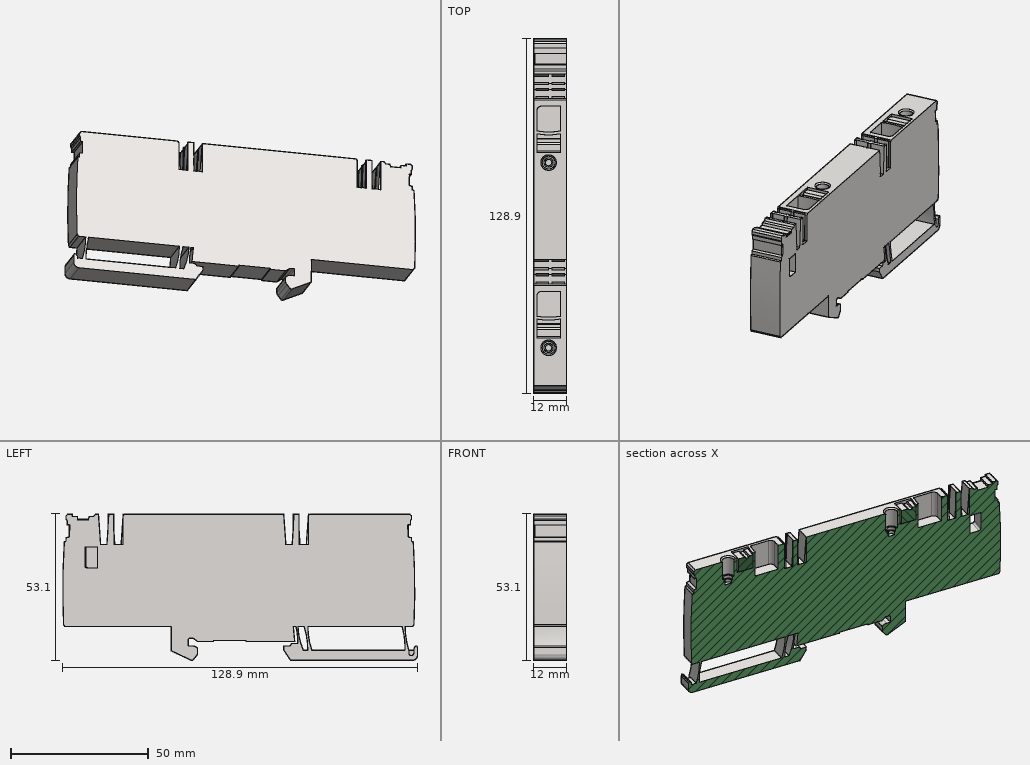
import cadquery as cq

WIDTH = 12.0
HEIGHT = 53.1
HALF_LENGTH = 63.9
BASE_Z = 12.2
FOOT_TIP_Y = -65.0

UNIT_PITCH = 67.3
UNIT_OFFSETS = (0, -UNIT_PITCH)

HEAD_INSET = 1.2
HEAD_LIP_INSET = 1.5
NECK_INSET = 2.3
SHOULDER_INSET = 0.5
HEAD_BOTTOM_Z = 50.8
HEAD_BEVEL = 0.5
NECK_TOP_Z = 49.2
NECK_BOTTOM_Z = 44.9
SHOULDER_Z = 43.0
SHOULDER_SLOPE = 0.3
END_LOW_INSET = 0.3
END_MIDDLE_Z = 28.4
CORNER = 0.8
TOP_CORNER = 0.6

TROUGH_REAR_Y = 58.5
TROUGH_FRONT_Y = 54.7
TROUGH_Z = 51.4
LEDGE_Z = 52.3

RELIEF_WIDTH = 0.5
RELIEF_DEPTH = 0.4

SLOT_FLOOR_Z = 42.2
SLOT_REAR_Y = 50.9
PILLAR_REAR_Y = 47.5
PILLAR_FRONT_Y = 45.4
SLOT_FRONT_Y = 42.0
PANEL_SLOPE = 0.8
SLOT_EDGE = 0.5
SIDE_RIB = 0.8
CENTRE_RIB = 1.2

FITTING_X = 5.4
FITTING_WIDTH = 8.5
EDGE_SAG = 0.4
FUNNEL_REAR_Y = 39.3
FUNNEL_FRONT_Y = 30.3
FUNNEL_DEPTH = 10.3
FUNNEL_RADIUS = 1.7
LEVER_REAR_Y = 29.3
LEVER_FRONT_Y = 23.0
LEVER_GAP = 0.5
LEVER_DROP = 0.8
POCKET_DEPTH = 6.5
GROOVE_DEPTH = 0.6
HOLE_Y = 18.8
HOLE_RADIUS = 2.3
HOLE_CHAMFER = 0.5
HOLE_DEPTH = 7.7
HOLE_STEPS = ((1.7, 9.0), (1.2, 10.3))

RECESS_REAR_Y = 56.0
RECESS_FRONT_Y = 51.3
RECESS_TOP_Z = 41.1
RECESS_BOTTOM_Z = 33.6
RECESS_SLOPE = 0.4
RECESS_FILLET = 0.8
RECESS_DEPTH = 5.9

FOOT_TOP_Z = 3.7
FOOT_FILLET = 1.9
NOTCH_REAR_Y = -61.7
NOTCH_FRONT_Y = -63.5
NOTCH_BOTTOM_Z = 1.8
NOTCH_DEPTH = 1.3
NOTCH_FILLET = 0.8


def plate(outline, x_start=0.0, width=WIDTH):
    """Extrude a closed outline of (Y, Z) points along X."""
    return cq.Workplane("YZ").workplane(offset=x_start).polyline(outline).close().extrude(width)


def block(y_low, y_high, z_low, z_high, x_start=0.0, width=WIDTH):
    """Box between two Y and two Z limits."""
    corners = [(y_low, z_low), (y_high, z_low), (y_high, z_high), (y_low, z_high)]
    return plate(corners, x_start, width)


def end_points(side):
    """Points of the undercut end from the top face to the shoulder; side is +1 rear, -1 front."""
    insets = [
        (HEAD_INSET + TOP_CORNER, HEIGHT),
        (HEAD_INSET, HEIGHT - TOP_CORNER),
        (HEAD_INSET, HEAD_BOTTOM_Z + HEAD_BEVEL),
        (HEAD_LIP_INSET, HEAD_BOTTOM_Z),
        (HEAD_LIP_INSET, NECK_TOP_Z),
        (NECK_INSET, NECK_TOP_Z),
        (NECK_INSET, NECK_BOTTOM_Z),
        (HEAD_INSET, NECK_BOTTOM_Z - SHOULDER_SLOPE),
        (HEAD_INSET, SHOULDER_Z + SHOULDER_SLOPE),
        (SHOULDER_INSET, SHOULDER_Z),
    ]
    return [(side * (HALF_LENGTH - inset), z) for inset, z in insets]


def main_body():
    """Closed side outline of the housing without its feet; both ends bulge slightly."""
    rear = end_points(1)
    front = end_points(-1)
    low = BASE_Z + CORNER
    trough = [
        (60.5, HEIGHT),
        (60.5, LEDGE_Z),
        (TROUGH_REAR_Y, LEDGE_Z),
        (TROUGH_REAR_Y, TROUGH_Z),
        (TROUGH_FRONT_Y, TROUGH_Z),
        (54.3, LEDGE_Z),
        (52.7, LEDGE_Z),
        (52.1, HEIGHT),
    ]
    outline = cq.Workplane("YZ").polyline(rear[::-1] + trough + front)
    outline = outline.threePointArc((-HALF_LENGTH, END_MIDDLE_Z), (END_LOW_INSET - HALF_LENGTH, low))
    outline = outline.lineTo(CORNER - HALF_LENGTH, BASE_Z).lineTo(HALF_LENGTH - CORNER, BASE_Z)
    outline = outline.lineTo(HALF_LENGTH - END_LOW_INSET, low)
    outline = outline.threePointArc((HALF_LENGTH, END_MIDDLE_Z), rear[-1])
    return outline.close().extrude(WIDTH)


def rail_hook():
    """Fixed rail hook and the raised rail seat under the housing."""
    return (
        cq.Workplane("YZ")
        .moveTo(24.6, BASE_Z)
        .lineTo(24.6, 3.5)
        .lineTo(17.5, 0.1)
        .threePointArc((17.0, 0.0), (16.5, 0.3))
        .lineTo(15.5, 1.5)
        .threePointArc((15.1, 2.0), (15.0, 2.7))
        .lineTo(15.0, 4.4)
        .threePointArc((15.7, 5.0), (16.8, 5.3))
        .lineTo(18.3, 5.3)
        .lineTo(18.3, 7.6)
        .threePointArc((18.2, 7.9), (17.8, 8.0))
        .lineTo(16.5, 8.0)
        .lineTo(15.0, 6.8)
        .lineTo(9.2, 6.8)
        .lineTo(9.2, 7.2)
        .lineTo(-2.6, 7.2)
        .lineTo(-2.6, 6.8)
        .lineTo(-20.4, 6.8)
        .lineTo(-19.9, BASE_Z)
        .close()
        .extrude(WIDTH)
    )


def release_foot():
    """Spring foot with its rail catch and the grip at the front end."""
    outline = [
        (-21.4, 6.2),
        (-19.2, 6.2),
        (-18.5, 5.3),
        (-16.2, 5.3),
        (-16.2, 3.9),
        (-18.8, 0.0),
        (FOOT_TIP_Y, 0.0),
        (FOOT_TIP_Y, 4.6),
        (-64.7, 5.3),
        (-64.2, 5.3),
        (NOTCH_FRONT_Y, 4.4),
        (NOTCH_FRONT_Y, FOOT_TOP_Z),
        (-23.5, FOOT_TOP_Z),
    ]
    lower_front = cq.selectors.NearestToPointSelector((WIDTH / 2, FOOT_TIP_Y, 0))
    return plate(outline).edges("|X").edges(lower_front).fillet(FOOT_FILLET)


def spring_leg(rear_top, rear_middle, rear_foot, front_top, front_middle, front_foot):
    """Curved leg between the housing and the release foot."""
    return (
        cq.Workplane("YZ")
        .moveTo(*rear_top)
        .threePointArc(rear_middle, rear_foot)
        .lineTo(*front_foot)
        .threePointArc(front_middle, front_top)
        .close()
        .extrude(WIDTH)
    )


def spring_legs():
    first = spring_leg(
        (-20.8, BASE_Z), (-21.3, 9.0), (-21.4, 6.2),
        (-21.5, BASE_Z), (-22.2, 7.6), (-23.5, FOOT_TOP_Z),
    )
    second = spring_leg(
        (-23.7, BASE_Z), (-24.6, 8.5), (-25.0, FOOT_TOP_Z),
        (-25.1, BASE_Z), (-25.5, 7.7), (-26.5, FOOT_TOP_Z),
    )
    third = spring_leg(
        (-59.3, BASE_Z), (-60.1, 8.5), (-60.3, FOOT_TOP_Z),
        (-60.5, BASE_Z), (-60.8, 7.7), (NOTCH_REAR_Y, FOOT_TOP_Z),
    )
    return first.union(second).union(third)


def marker_reliefs():
    """Tapered reliefs along the -X side of both necks and of the trough."""
    neck_y = HALF_LENGTH - NECK_INSET
    cut = block(TROUGH_FRONT_Y, TROUGH_REAR_Y, TROUGH_Z - RELIEF_DEPTH, TROUGH_Z, 0, RELIEF_WIDTH)
    for side in (1, -1):
        wedge = [
            (side * neck_y, NECK_TOP_Z),
            (side * (neck_y - RELIEF_DEPTH), NECK_TOP_Z),
            (side * neck_y, NECK_BOTTOM_Z),
        ]
        cut = cut.union(plate(wedge, 0, RELIEF_WIDTH))
    return cut


def bridge_slots():
    """Two slots across the housing: sloping panels between straight ribs."""
    rear_panel = [
        (SLOT_REAR_Y, HEIGHT),
        (SLOT_REAR_Y - PANEL_SLOPE, SLOT_FLOOR_Z),
        (PILLAR_REAR_Y + PANEL_SLOPE / 2, SLOT_FLOOR_Z),
        (PILLAR_REAR_Y - PANEL_SLOPE / 2, HEIGHT),
    ]
    front_panel = [
        (PILLAR_FRONT_Y + PANEL_SLOPE / 2, HEIGHT),
        (PILLAR_FRONT_Y - PANEL_SLOPE / 2, SLOT_FLOOR_Z),
        (SLOT_FRONT_Y + PANEL_SLOPE, SLOT_FLOOR_Z),
        (SLOT_FRONT_Y, HEIGHT),
    ]
    edge_chamfer = [
        (SLOT_FRONT_Y, HEIGHT),
        (SLOT_FRONT_Y, HEIGHT - SLOT_EDGE),
        (SLOT_FRONT_Y - SLOT_EDGE, HEIGHT),
    ]
    centre_x = (WIDTH - CENTRE_RIB) / 2
    panel_width = centre_x - SIDE_RIB
    right_x = WIDTH - SIDE_RIB

    cut = plate(edge_chamfer)
    for x_start in (SIDE_RIB, centre_x + CENTRE_RIB):
        cut = cut.union(plate(rear_panel, x_start, panel_width))
        cut = cut.union(plate(front_panel, x_start, panel_width))

    cut = cut.union(plate(rear_panel, 0, SIDE_RIB))
    for x_start, width in ((centre_x, CENTRE_RIB), (right_x, SIDE_RIB)):
        cut = cut.union(block(PILLAR_REAR_Y, SLOT_REAR_Y, SLOT_FLOOR_Z, HEIGHT, x_start, width))
    for x_start, width in ((0, SIDE_RIB), (centre_x, CENTRE_RIB), (right_x, SIDE_RIB)):
        cut = cut.union(block(SLOT_FRONT_Y, PILLAR_FRONT_Y, SLOT_FLOOR_Z, HEIGHT, x_start, width))
    return cut


def wire_funnel():
    """Rectangular wire entry with one rounded corner and a curved front edge."""
    left = FITTING_X - FITTING_WIDTH / 2
    right = FITTING_X + FITTING_WIDTH / 2
    funnel = (
        cq.Workplane("XY")
        .workplane(offset=HEIGHT)
        .moveTo(left, FUNNEL_FRONT_Y)
        .lineTo(left, FUNNEL_REAR_Y)
        .lineTo(right, FUNNEL_REAR_Y)
        .lineTo(right, FUNNEL_FRONT_Y)
        .threePointArc((FITTING_X, FUNNEL_FRONT_Y - EDGE_SAG), (left, FUNNEL_FRONT_Y))
        .close()
        .extrude(-FUNNEL_DEPTH)
    )
    rounded_corner = cq.selectors.NearestToPointSelector((left, FUNNEL_REAR_Y, HEIGHT - FUNNEL_DEPTH / 2))
    return funnel.edges(rounded_corner).fillet(FUNNEL_RADIUS)


def lever_space(front_y):
    """Vertical prism from the pocket floor to the top face, with a curved rear edge."""
    left = FITTING_X - FITTING_WIDTH / 2
    right = FITTING_X + FITTING_WIDTH / 2
    return (
        cq.Workplane("XY")
        .workplane(offset=HEIGHT - POCKET_DEPTH)
        .moveTo(left, LEVER_REAR_Y)
        .lineTo(left, front_y)
        .lineTo(right, front_y)
        .lineTo(right, LEVER_REAR_Y)
        .threePointArc((FITTING_X, LEVER_REAR_Y - EDGE_SAG), (left, LEVER_REAR_Y))
        .close()
        .extrude(POCKET_DEPTH)
    )


def test_hole():
    """Chamfered hole that narrows in steps."""
    profile = [
        (0, 0),
        (HOLE_RADIUS + HOLE_CHAMFER, 0),
        (HOLE_RADIUS, -HOLE_CHAMFER),
        (HOLE_RADIUS, -HOLE_DEPTH),
    ]
    step_top = HOLE_DEPTH
    for radius, depth in HOLE_STEPS:
        profile += [(radius, -step_top), (radius, -depth)]
        step_top = depth
    profile.append((0, -step_top))
    hole = cq.Workplane("XZ").polyline(profile).close().revolve(360, (0, 0), (0, 1))
    return hole.translate((FITTING_X, HOLE_Y, HEIGHT))


def side_recess():
    """Blind recess in the -X side with a sloping rear wall and a rounded lower rear edge."""
    recess = (
        cq.Workplane("XY")
        .workplane(offset=RECESS_BOTTOM_Z)
        .moveTo(0, RECESS_FRONT_Y)
        .lineTo(0, RECESS_REAR_Y)
        .lineTo(RECESS_DEPTH, RECESS_REAR_Y - RECESS_SLOPE)
        .lineTo(RECESS_DEPTH, RECESS_FRONT_Y)
        .close()
        .extrude(RECESS_TOP_Z - RECESS_BOTTOM_Z)
    )
    return recess.faces(">Y").edges("<Z").fillet(RECESS_FILLET)


def grip_notch():
    """Notch with a rounded bottom in the -X side of the foot, behind the grip."""
    notch = block(NOTCH_FRONT_Y, NOTCH_REAR_Y, NOTCH_BOTTOM_Z, FOOT_TOP_Z, 0, NOTCH_DEPTH)
    return notch.edges("|X and <Z").fillet(NOTCH_FILLET)


def make_housing():
    housing = main_body().union(rail_hook()).union(release_foot()).union(spring_legs())
    housing = housing.cut(marker_reliefs()).cut(side_recess()).cut(grip_notch())
    pocket_front = LEVER_FRONT_Y - LEVER_GAP
    unit_cuts = (bridge_slots(), wire_funnel(), lever_space(pocket_front), test_hole())
    for offset in UNIT_OFFSETS:
        for cut in unit_cuts:
            housing = housing.cut(cut.translate((0, offset, 0)))
    return housing


def make_lever(offset):
    """Release lever with a finger groove across its top, filling its pocket from the rear edge."""
    top = HEIGHT - LEVER_DROP
    groove_floor = top - GROOVE_DEPTH
    groove = [(27.6, top), (27.3, groove_floor), (26.2, groove_floor), (25.4, top)]
    lever = lever_space(LEVER_FRONT_Y)
    lever = lever.cut(block(LEVER_FRONT_Y, LEVER_REAR_Y, top, HEIGHT)).cut(plate(groove))
    return lever.translate((0, offset, 0))


housing = make_housing()
levers = [make_lever(offset) for offset in UNIT_OFFSETS]

result = cq.Compound.makeCompound([housing.val(), *[lever.val() for lever in levers]])